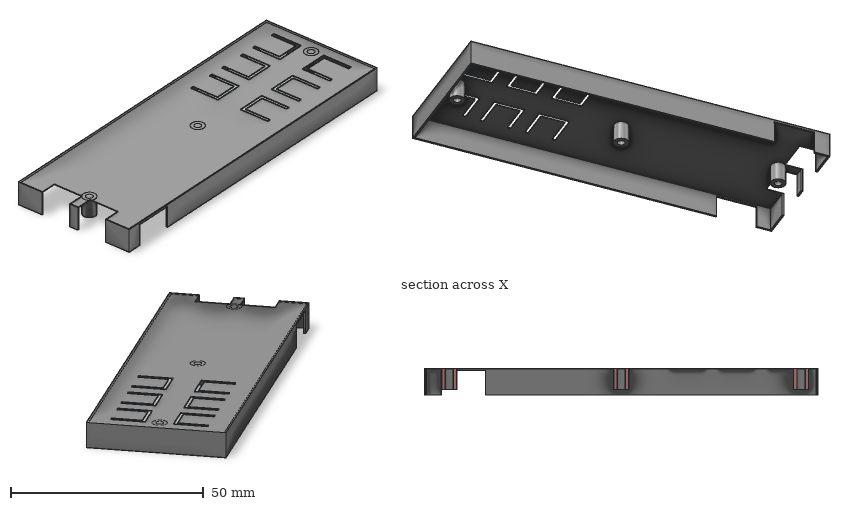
import cadquery as cq

width = 37.0
length = 102.0
height = 6.9
plate_thickness = 0.2
wall_thickness = 0.5

notch_span = 21.2
tab_width = 2.8
notch_depth = 5.1

window_start = 4.4
window_length = 11.4
window_top_depth = 0.6

boss_diameter = 4.0
boss_hole_diameter = 2.0
boss_bottom_depth = 5.5
boss_distances_from_front = (6.4, 51.0, 97.6)

slot_width = 0.9
slot_length = 9.1
slot_height = 8.7
slot_inner_x = 3.8
slot_row_count = 3
slot_row_pitch = 12.8
first_slot_from_back = 3.9

front_y = -length / 2
back_y = length / 2
plate_bottom_z = height - plate_thickness


def box(x_min, y_min, z_min, x_size, y_size, z_size):
    """Box placed by its lowest corner."""
    solid = cq.Workplane("XY").box(x_size, y_size, z_size, centered=False)
    return solid.translate((x_min, y_min, z_min))


def make_shell():
    """Top plate with four walls below it."""
    outer = cq.Workplane("XY").box(width, length, height, centered=(True, True, False))
    cavity = cq.Workplane("XY").box(
        width - 2 * wall_thickness,
        length - 2 * wall_thickness,
        plate_bottom_z,
        centered=(True, True, False),
    )
    return outer.cut(cavity)


def make_front_notch(side):
    """Full-height notch on one side of the middle tab."""
    notch_width = (notch_span - tab_width) / 2
    x_min = tab_width / 2 if side > 0 else -notch_span / 2
    return box(x_min, front_y, 0, notch_width, notch_depth, height)


def make_side_windows():
    """Opening through both side walls, leaving a thin lip of wall below the plate."""
    return box(-width / 2, front_y + window_start, 0, width, window_length, height - window_top_depth)


def make_boss(distance_from_front):
    """Tubular boss with a blind hole that stops at the plate."""
    return (
        cq.Workplane("XY", origin=(0, front_y + distance_from_front, height - boss_bottom_depth))
        .circle(boss_diameter / 2)
        .circle(boss_hole_diameter / 2)
        .extrude(boss_bottom_depth - plate_thickness)
    )


def make_u_slot(side, row):
    """U-shaped slot through the plate, with its open end facing outward."""
    y_min = back_y - first_slot_from_back - row * slot_row_pitch - slot_height
    z_min = plate_bottom_z
    slot = box(slot_inner_x, y_min, z_min, slot_length, slot_height, plate_thickness)
    tongue = box(
        slot_inner_x + slot_width,
        y_min + slot_width,
        z_min,
        slot_length - slot_width,
        slot_height - 2 * slot_width,
        plate_thickness,
    )
    slot = slot.cut(tongue)
    return slot if side > 0 else slot.mirror("YZ")


result = make_shell().cut(make_side_windows())

for side in (-1, 1):
    result = result.cut(make_front_notch(side))
    for row in range(slot_row_count):
        result = result.cut(make_u_slot(side, row))

for distance in boss_distances_from_front:
    result = result.union(make_boss(distance))